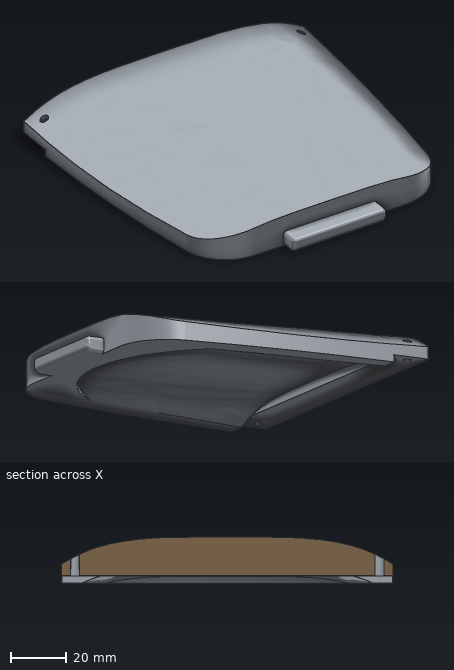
import cadquery as cq
import math

body_length = 112.0
half_width = 60.0
side_radius = 549.0
corner_radius = 19.3

rear_height = 17.11
front_height = 12.7
rear_drop = 9.75
front_drop = 12.0
crown_power = 4
crown_points = 6

step_length = 14.2
step_height = 2.7

recess_roof_thickness = 10.5
recess_front = 104.0
recess_side_length = 46.0
recess_half_width = 54.0

hole_diameter = 3.0
hole_inset = 6.0
hole_half_spacing = 55.0

tab_length = 7.0
tab_half_width = 20.0
tab_height = 6.0
tab_fillet = 1.5
tab_nose_radius = 3.0


def crown_section(x, ridge_height, drop, base):
    """Closed cross-section at x: flat base, upright sides and a crown in two mirrored halves."""
    def crown_half(side):
        fractions = [i / crown_points for i in range(crown_points + 1)]
        return [
            (side * half_width * f, ridge_height - drop * f ** crown_power)
            for f in fractions
        ]

    edge_slope = crown_power * drop / half_width
    rising = crown_half(-1)[::-1]
    falling = crown_half(1)
    return (
        cq.Workplane("YZ", origin=(x, 0, 0))
        .moveTo(-half_width, base)
        .lineTo(*rising[0])
        .spline(rising[1:], tangents=[(1, edge_slope), (1, 0)], includeCurrent=True)
        .spline(falling[1:], tangents=[(1, 0), (1, -edge_slope)], includeCurrent=True)
        .lineTo(half_width, base)
        .close()
        .val()
    )


def crowned_block(lowering, base):
    """Ruled block under the crown, with the crown lowered by the given amount."""
    rear = crown_section(0, rear_height - lowering, rear_drop, base)
    front = crown_section(body_length, front_height - lowering, front_drop, base)
    return cq.Workplane(obj=cq.Solid.makeLoft([rear, front], True))


def side_y(x):
    """Half width of the bowed side at x; the bow is square to the rear edge."""
    return half_width - side_radius + math.sqrt(side_radius ** 2 - x ** 2)


def plan_prism():
    middle = body_length / 2
    outline = (
        cq.Workplane("XY")
        .moveTo(0, -half_width)
        .threePointArc((middle, -side_y(middle)), (body_length, -side_y(body_length)))
        .lineTo(body_length, side_y(body_length))
        .threePointArc((middle, side_y(middle)), (0, half_width))
        .close()
    )
    return outline.extrude(rear_height).edges("|Z and >X").fillet(corner_radius)


def rear_step():
    return cq.Workplane("XY").box(
        step_length, 2 * half_width, step_height, centered=(False, True, False)
    )


def recess():
    side_end = step_length + recess_side_length
    bounds = (
        cq.Workplane("XY")
        .moveTo(step_length, -recess_half_width)
        .lineTo(side_end, -recess_half_width)
        .threePointArc((recess_front, 0), (side_end, recess_half_width))
        .lineTo(step_length, recess_half_width)
        .close()
        .extrude(rear_height)
    )
    arch = crowned_block(recess_roof_thickness, -rear_height)
    return arch.intersect(bounds)


def screw_holes():
    return (
        cq.Workplane("XY")
        .pushPoints([(hole_inset, side * hole_half_spacing) for side in (-1, 1)])
        .circle(hole_diameter / 2)
        .extrude(rear_height)
    )


def front_tab():
    """Tab with a rounded lower nose and eased edges, buried in the body by its fillet radius."""
    block = (
        cq.Workplane("XY", origin=(body_length - tab_fillet, 0, 0))
        .box(
            tab_length + tab_fillet, 2 * tab_half_width, tab_height,
            centered=(False, True, False),
        )
    )
    nosed = block.edges(">X and <Z").fillet(tab_nose_radius)
    return nosed.faces(">Y or <Y or >X").edges("not <X").fillet(tab_fillet)


body = crowned_block(0, 0).intersect(plan_prism())
body = body.cut(rear_step()).cut(recess()).cut(screw_holes())
result = body.union(front_tab())